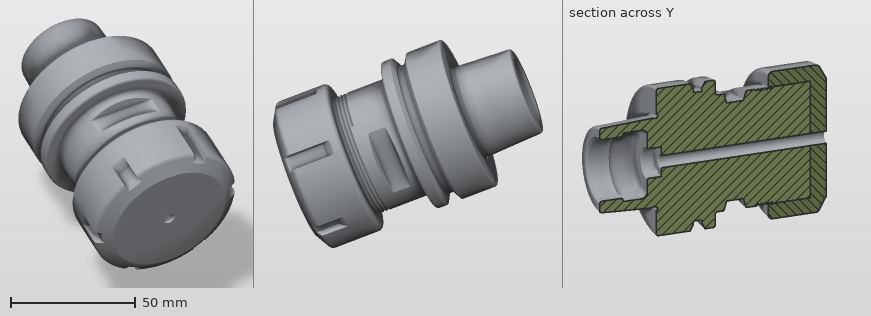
import cadquery as cq
import math

FULL_TURN = 360.0
HALF_TURN = FULL_TURN / 2
STEEP_CONE_ANGLE = 60.0

OVERALL_LENGTH = 100.0
SHANK_LENGTH = 25.0
FLANGE_RADIUS = 31.5
EDGE_FILLET = 1.0

SHANK_TIP_RADIUS = 18.05
SHANK_ROOT_RADIUS = 19.2
NECK_RADIUS = 18.95
NECK_LENGTH = 1.3
SHANK_ROOT_CHAMFER = 0.5
SHANK_TIP_FILLET = 1.2
RELIEF_RADIUS = 20.3
RELIEF_DEPTH = 0.5
RELIEF_FILLET = 0.8

FLANGE_LENGTH = 26.0
GROOVE_CENTRE = 18.2
GROOVE_WIDTH = 3.6
GROOVE_RADIUS = 27.5
GROOVE_BOTTOM_FILLET = 0.4
GROOVE_CHAMFER_RUN = 1.5
GROOVE_CHAMFER_DROP = GROOVE_CHAMFER_RUN * math.tan(math.radians(STEEP_CONE_ANGLE))

BODY_RADIUS = 25.0
BODY_FILLET = 0.9
FLAT_DISTANCE = 21.0
FLAT_CENTRE = 34.7
FLAT_BOTTOM_LENGTH = 7.3
FLAT_TOP_LENGTH = 9.7

BORE_RADIUS = 13.0
BORE_DEPTH = 21.0
BORE_LIP_DEPTH = 9.9
BORE_CHAMFER = 0.9
CAVITY_RADIUS = 14.5
CAVITY_CONE_LENGTH = (CAVITY_RADIUS - BORE_RADIUS) / math.tan(math.radians(STEEP_CONE_ANGLE))
CAVITY_FILLET = 2.5
RECESS_RADIUS = 6.2
RECESS_DEPTH = 6.0
RECESS_CHAMFER = 0.6
THROUGH_HOLE_RADIUS = 2.5
THROUGH_HOLE_CHAMFER = 0.6

THREAD_PITCH = 1.5
THREAD_DEPTH = 0.8
THREAD_OVERCUT = 0.05
THREAD_GROOVE_WIDTH = 1.45
THREAD_START = 43.6
THREAD_START_ANGLE = -135.0
THREAD_TURNS = 5

NUT_START = 49.3
NUT_END = OVERALL_LENGTH - SHANK_LENGTH
NUT_RADIUS = FLANGE_RADIUS
NUT_BACK_FILLET = 2.0
NUT_FRONT_FILLET = 2.0
NUT_FACE_RADIUS = 25.0
NUT_CONE_LENGTH = (NUT_RADIUS - NUT_FACE_RADIUS) / math.tan(math.radians(STEEP_CONE_ANGLE))
NUT_SEAT_END = 68.0

SLOT_COUNT = 6
FIRST_SLOT_ANGLE = 30.0
SLOT_WIDTH = 6.2
SLOT_FLOOR_RADIUS = 28.3
SLOT_RAMP_HEIGHT = 2.9
SLOT_LEAD_IN_LENGTH = 0.6
SLOT_OVERCUT = 1.0
SHORT_SLOT_FLOOR_START = 63.3
LONG_SLOT_FLOOR_START = 56.6


def turned(profile):
    """Revolve a closed (x, radius) outline about the X axis."""
    return cq.Workplane("XZ").polyline(profile).close().revolve(FULL_TURN, (0, 0, 0), (1, 0, 0))


def fillet_rim(body, x, radius, fillet):
    """Round the circular edge of the given radius in the plane at x."""
    tolerance = 0.01
    rims = [
        edge
        for edge in body.edges("%CIRCLE").vals()
        if abs(edge.Center().x - x) < tolerance and abs(edge.radius() - radius) < tolerance
    ]
    return body.newObject(rims).fillet(fillet)


def make_thread_groove():
    """V-shaped helical cutter that leaves the thread ridges on the body."""
    helix = cq.Wire.makeHelix(THREAD_PITCH, THREAD_PITCH * THREAD_TURNS, BODY_RADIUS)
    outer_radius = BODY_RADIUS + THREAD_OVERCUT
    half_width = THREAD_GROOVE_WIDTH / 2
    groove = (
        cq.Workplane("XZ")
        .polyline([(BODY_RADIUS - THREAD_DEPTH, 0), (outer_radius, half_width), (outer_radius, -half_width)])
        .close()
        .sweep(cq.Workplane(obj=helix), isFrenet=True)
    )
    return (
        groove.rotate((0, 0, 0), (0, 0, 1), 180)
        .rotate((0, 0, 0), (0, 1, 0), 90)
        .rotate((0, 0, 0), (1, 0, 0), THREAD_START_ANGLE)
        .translate((THREAD_START, 0, 0))
    )


def make_flat_cutter():
    """Trapezoid above the wrench flat on the +Z side."""
    cut_height = BODY_RADIUS - FLAT_DISTANCE
    return (
        cq.Workplane("XZ", origin=(FLAT_CENTRE, 0, FLAT_DISTANCE))
        .polyline(
            [
                (-FLAT_BOTTOM_LENGTH / 2, 0),
                (FLAT_BOTTOM_LENGTH / 2, 0),
                (FLAT_TOP_LENGTH / 2, cut_height),
                (-FLAT_TOP_LENGTH / 2, cut_height),
            ]
        )
        .close()
        .extrude(BODY_RADIUS, both=True)
    )


def make_holder():
    """Shank, flange and threaded body in one piece, bored from the shank end."""
    groove_start = GROOVE_CENTRE - GROOVE_WIDTH / 2
    groove_end = GROOVE_CENTRE + GROOVE_WIDTH / 2
    groove_lip_radius = FLANGE_RADIUS - GROOVE_CHAMFER_DROP
    lip_end = BORE_LIP_DEPTH - SHANK_LENGTH
    bore_end = BORE_DEPTH - SHANK_LENGTH
    recess_end = bore_end + RECESS_DEPTH
    holder = turned(
        [
            (-SHANK_LENGTH, BORE_RADIUS + BORE_CHAMFER),
            (-SHANK_LENGTH, SHANK_TIP_RADIUS),
            (-NECK_LENGTH - SHANK_ROOT_CHAMFER, SHANK_ROOT_RADIUS),
            (-NECK_LENGTH, NECK_RADIUS),
            (RELIEF_DEPTH, NECK_RADIUS),
            (RELIEF_DEPTH, RELIEF_RADIUS),
            (0, RELIEF_RADIUS),
            (0, FLANGE_RADIUS),
            (groove_start - GROOVE_CHAMFER_RUN, FLANGE_RADIUS),
            (groove_start, groove_lip_radius),
            (groove_start, GROOVE_RADIUS),
            (groove_end, GROOVE_RADIUS),
            (groove_end, groove_lip_radius),
            (groove_end + GROOVE_CHAMFER_RUN, FLANGE_RADIUS),
            (FLANGE_LENGTH, FLANGE_RADIUS),
            (FLANGE_LENGTH, BODY_RADIUS),
            (NUT_SEAT_END, BODY_RADIUS),
            (NUT_SEAT_END, THROUGH_HOLE_RADIUS),
            (recess_end + THROUGH_HOLE_CHAMFER, THROUGH_HOLE_RADIUS),
            (recess_end, THROUGH_HOLE_RADIUS + THROUGH_HOLE_CHAMFER),
            (recess_end, RECESS_RADIUS),
            (bore_end + RECESS_CHAMFER, RECESS_RADIUS),
            (bore_end, RECESS_RADIUS + RECESS_CHAMFER),
            (bore_end, CAVITY_RADIUS),
            (lip_end + CAVITY_CONE_LENGTH, CAVITY_RADIUS),
            (lip_end, BORE_RADIUS),
            (BORE_CHAMFER - SHANK_LENGTH, BORE_RADIUS),
        ]
    )
    rims = [
        (-SHANK_LENGTH, SHANK_TIP_RADIUS, SHANK_TIP_FILLET),
        (RELIEF_DEPTH, NECK_RADIUS, RELIEF_FILLET),
        (0, FLANGE_RADIUS, EDGE_FILLET),
        (groove_start, GROOVE_RADIUS, GROOVE_BOTTOM_FILLET),
        (groove_end, GROOVE_RADIUS, GROOVE_BOTTOM_FILLET),
        (FLANGE_LENGTH, FLANGE_RADIUS, EDGE_FILLET),
        (FLANGE_LENGTH, BODY_RADIUS, BODY_FILLET),
        (bore_end, CAVITY_RADIUS, CAVITY_FILLET),
    ]
    for x, radius, fillet in rims:
        holder = fillet_rim(holder, x, radius, fillet)

    flat_cutter = make_flat_cutter()
    for angle in (0, HALF_TURN):
        holder = holder.cut(flat_cutter.rotate((0, 0, 0), (1, 0, 0), angle))
    return holder.cut(make_thread_groove())


def make_slot_cutter(floor_start):
    """Flat-bottomed spanner slot on the +Z side, open at the front.

    A 45 degree ramp and a short, shallower lead-in close its back end.
    """
    ramp_end = floor_start - SLOT_RAMP_HEIGHT
    slot_start = ramp_end - SLOT_LEAD_IN_LENGTH
    outer_radius = NUT_RADIUS + SLOT_OVERCUT
    return (
        cq.Workplane("XZ")
        .polyline(
            [
                (floor_start, SLOT_FLOOR_RADIUS),
                (NUT_END, SLOT_FLOOR_RADIUS),
                (NUT_END, outer_radius),
                (slot_start, outer_radius),
                (slot_start, NUT_RADIUS),
                (ramp_end, SLOT_FLOOR_RADIUS + SLOT_RAMP_HEIGHT),
            ]
        )
        .close()
        .extrude(SLOT_WIDTH / 2, both=True)
    )


def make_nut():
    """Ring with a coned front, seated on the threaded end of the holder."""
    cone_start = NUT_END - NUT_CONE_LENGTH
    nut = turned(
        [
            (NUT_START, BODY_RADIUS),
            (NUT_START, NUT_RADIUS),
            (cone_start, NUT_RADIUS),
            (NUT_END, NUT_FACE_RADIUS),
            (NUT_END, THROUGH_HOLE_RADIUS),
            (NUT_SEAT_END, THROUGH_HOLE_RADIUS),
            (NUT_SEAT_END, BODY_RADIUS),
        ]
    )
    nut = fillet_rim(nut, NUT_START, NUT_RADIUS, NUT_BACK_FILLET)
    nut = fillet_rim(nut, cone_start, NUT_RADIUS, NUT_FRONT_FILLET)

    for index in range(SLOT_COUNT):
        angle = FIRST_SLOT_ANGLE + index * FULL_TURN / SLOT_COUNT
        on_minus_y_half = angle < HALF_TURN
        floor_start = SHORT_SLOT_FLOOR_START if on_minus_y_half else LONG_SLOT_FLOOR_START
        cutter = make_slot_cutter(floor_start)
        nut = nut.cut(cutter.rotate((0, 0, 0), (1, 0, 0), angle))
    return nut


holder = make_holder()
nut = make_nut()
result = cq.Compound.makeCompound([holder.solids().val(), nut.solids().val()])